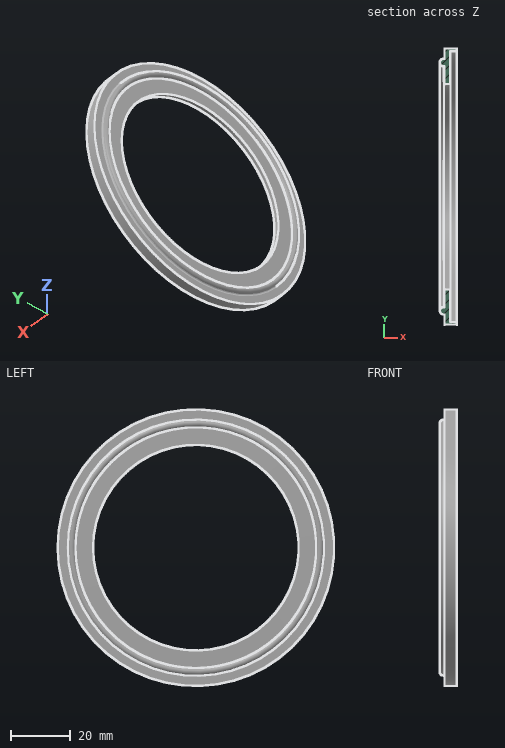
import cadquery as cq

outer_diameter = 93.0
bore_diameter = 69.0
total_thickness = 5.8
rim_thickness = 4.2
web_thickness = 2.0
recess_diameter = 91.0
bead_mid_diameter = 83.5
bead_width = 2.6
bead_root_fillet = 0.2
bore_lip_rise = 0.13

outer_radius = outer_diameter / 2
bore_radius = bore_diameter / 2
recess_radius = recess_diameter / 2
front_x = -rim_thickness
recess_floor_x = front_x + web_thickness
bore_front_x = front_x - bore_lip_rise

bead_tip_x = -total_thickness
bead_crown_radius = bead_width / 2
bead_mid_radius = bead_mid_diameter / 2
bead_outer_radius = bead_mid_radius + bead_crown_radius
bead_inner_radius = bead_mid_radius - bead_crown_radius
bead_shoulder_x = bead_tip_x + bead_crown_radius

match_tolerance = 0.001


def gasket_profile():
    """Half section in the XY plane: a web with a round-topped bead in front and a rim lip behind.

    Between the bead and the bore the front face is slightly conical, rising toward the bore.
    """
    return (
        cq.Workplane("XY")
        .moveTo(recess_floor_x, bore_radius)
        .lineTo(recess_floor_x, recess_radius)
        .lineTo(0, recess_radius)
        .lineTo(0, outer_radius)
        .lineTo(front_x, outer_radius)
        .lineTo(front_x, bead_outer_radius)
        .lineTo(bead_shoulder_x, bead_outer_radius)
        .threePointArc(
            (bead_tip_x, bead_mid_radius),
            (bead_shoulder_x, bead_inner_radius),
        )
        .lineTo(front_x, bead_inner_radius)
        .lineTo(bore_front_x, bore_radius)
        .close()
    )


def is_bead_root(edge):
    """True for the two circles where the bead meets the front face."""
    on_front_face = abs(edge.Center().x - front_x) < match_tolerance
    distance_from_bead_mid = abs(edge.radius() - bead_mid_radius)
    return on_front_face and abs(distance_from_bead_mid - bead_crown_radius) < match_tolerance


def fillet_bead_roots(body):
    """Blend both sides of the bead into the front face."""
    root_edges = [edge for edge in body.edges("%CIRCLE").vals() if is_bead_root(edge)]
    return body.newObject(root_edges).fillet(bead_root_fillet)


gasket = gasket_profile().revolve(360, (0, 0, 0), (1, 0, 0))
result = fillet_bead_roots(gasket)